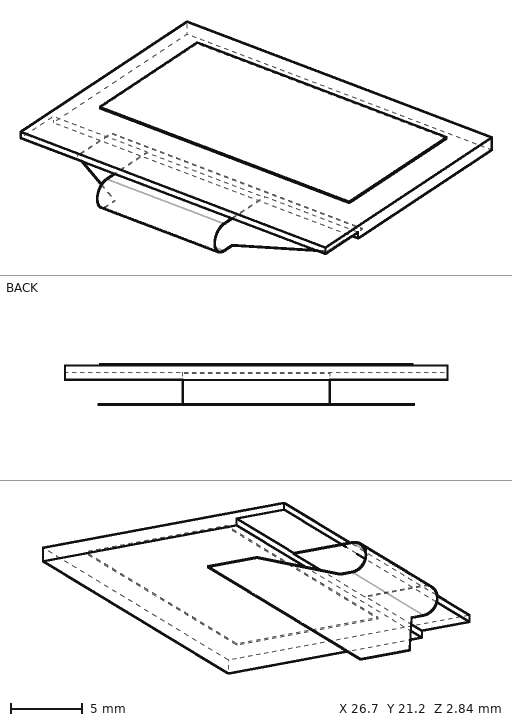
import cadquery as cq

panel_width = 26.7
panel_depth = 19.25
sheet_thickness = 0.5
lower_sheet_depth = 15.45

display_width = 21.85
display_depth = 11.27
display_back_margin = 2.03
display_height = 0.1

ribbon_thickness = 0.06
ribbon_width = 10.28
ribbon_overhang = 0.88
bend_radius = 1.12

tail_width = 22.0
tail_neck = 0.95
tail_flare_depth = 3.4
tail_end_to_panel_back = 11.85

ledge_y = panel_depth - lower_sheet_depth
bend_y = -ribbon_overhang
tail_bottom_z = -2 * bend_radius
tail_top_z = tail_bottom_z + ribbon_thickness


def block(width, y_front, y_back, z_bottom, height):
    """Box centred in X between two Y positions, standing on z_bottom."""
    return (
        cq.Workplane("XY")
        .box(width, y_back - y_front, height, centered=(True, False, False))
        .translate((0, y_front, z_bottom))
    )


def make_panel():
    upper_sheet = block(panel_width, 0, panel_depth, 0, sheet_thickness)
    lower_sheet = block(panel_width, ledge_y, panel_depth, -sheet_thickness, sheet_thickness)
    display_back = panel_depth - display_back_margin
    display_front = display_back - display_depth
    display = block(display_width, display_front, display_back, sheet_thickness, display_height)
    return upper_sheet.union(lower_sheet).union(display)


def make_ribbon():
    """Upper run on the ledge and the half-turn bend."""
    inner_radius = bend_radius - ribbon_thickness
    return (
        cq.Workplane("YZ")
        .moveTo(ledge_y, 0)
        .lineTo(bend_y, 0)
        .threePointArc((bend_y - bend_radius, -bend_radius), (bend_y, tail_bottom_z))
        .lineTo(bend_y, tail_top_z)
        .threePointArc((bend_y - inner_radius, -bend_radius), (bend_y, -ribbon_thickness))
        .lineTo(ledge_y, -ribbon_thickness)
        .close()
        .extrude(ribbon_width / 2, both=True)
    )


def make_tail():
    """Lower run of the ribbon, symmetric about the YZ plane."""
    flare_start_y = bend_y + tail_neck
    flare_end_y = flare_start_y + tail_flare_depth
    tail_end_y = panel_depth - tail_end_to_panel_back
    right_side = [
        (ribbon_width / 2, bend_y),
        (ribbon_width / 2, flare_start_y),
        (tail_width / 2, flare_end_y),
        (tail_width / 2, tail_end_y),
    ]
    left_side = [(-x, y) for x, y in reversed(right_side)]
    return (
        cq.Workplane("XY", origin=(0, 0, tail_bottom_z))
        .polyline(right_side + left_side)
        .close()
        .extrude(ribbon_thickness)
    )


result = make_panel().union(make_ribbon()).union(make_tail())